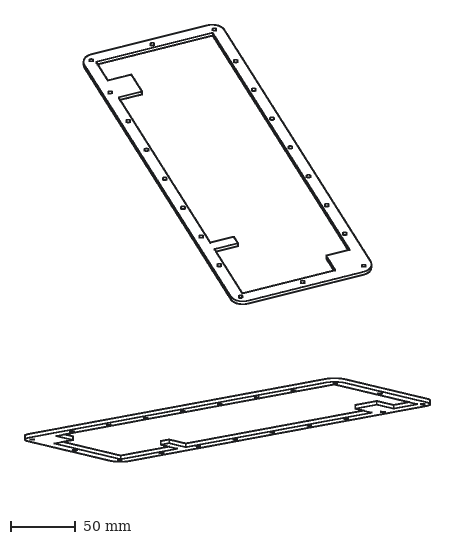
import cadquery as cq

LENGTH = 326.0
WIDTH = 116.3
THICKNESS = 3.0
CORNER_RADIUS = 10.0
LONG_RIM = 9.8
SHORT_RIM = 10.0

WINDOW_LENGTH = LENGTH - 2 * SHORT_RIM
WINDOW_WIDTH = WIDTH - 2 * LONG_RIM

TAB_REACH = 19.5
WIDE_TAB_LEFT = -128.5
WIDE_TAB_WIDTH = 22.5
NARROW_TAB_LEFT = 85.7
NARROW_TAB_WIDTH = 8.8
CORNER_TAB_WIDTH = 19.2

HOLE_DIAMETER = 3.3
CORNER_HOLE_DIAMETER = 3.0
RIM_HOLE_Y = 52.0
RIM_HOLE_OFFSETS = (38.0, 76.2, 114.0)
CORNER_HOLE_X = 156.0
CORNER_HOLE_Y = 51.0
MIDDLE_HOLE_X = 157.0


def make_plate():
    plate = cq.Workplane("XY").rect(LENGTH, WIDTH).extrude(THICKNESS)
    return plate.edges("|Z").fillet(CORNER_RADIUS)


def make_window():
    return cq.Workplane("XY").rect(WINDOW_LENGTH, WINDOW_WIDTH).extrude(THICKNESS)


def make_tab(left, width, bottom):
    """Rectangular tab that overlaps the rim by half the rim width."""
    height = TAB_REACH + LONG_RIM / 2
    return cq.Workplane("XY").box(width, height, THICKNESS, centered=False).translate((left, bottom, 0))


def make_holes(points, diameter):
    return cq.Workplane("XY").pushPoints(points).circle(diameter / 2).extrude(THICKNESS)


frame = make_plate().cut(make_window())
lower_tab_bottom = -WIDTH / 2 + LONG_RIM / 2
corner_tab_bottom = WINDOW_WIDTH / 2 - TAB_REACH
corner_tab_left = WINDOW_LENGTH / 2 - CORNER_TAB_WIDTH
frame = frame.union(make_tab(WIDE_TAB_LEFT, WIDE_TAB_WIDTH, lower_tab_bottom))
frame = frame.union(make_tab(NARROW_TAB_LEFT, NARROW_TAB_WIDTH, lower_tab_bottom))
frame = frame.union(make_tab(corner_tab_left, CORNER_TAB_WIDTH + SHORT_RIM / 2, corner_tab_bottom))

rim_hole_xs = [0] + [side * offset for offset in RIM_HOLE_OFFSETS for side in (-1, 1)]
rim_holes = [(x, side * RIM_HOLE_Y) for x in rim_hole_xs for side in (-1, 1)]

corner_holes = [(sx * CORNER_HOLE_X, sy * CORNER_HOLE_Y) for sx in (-1, 1) for sy in (-1, 1)]
middle_holes = [(side * MIDDLE_HOLE_X, 0) for side in (-1, 1)]

frame = frame.cut(make_holes(rim_holes + middle_holes, HOLE_DIAMETER))
result = frame.cut(make_holes(corner_holes, CORNER_HOLE_DIAMETER))